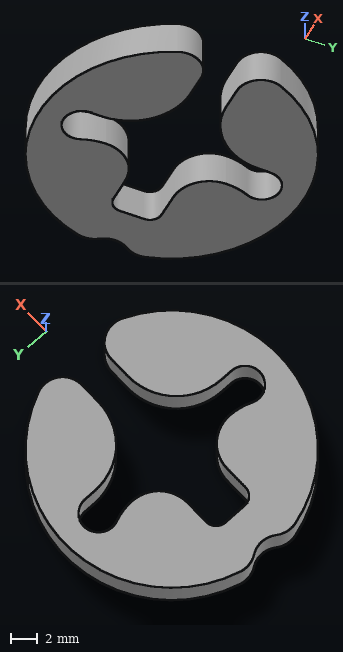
import cadquery as cq
import math

outer_radius = 11.0
thickness = 3.0

mouth_half_width = 1.5
tip_radius = 2.0
mouth_curve_radius = 5.0

relief_radius = 1.5
relief_center_y = 7.5

bay_depth = 7.0
bay_half_width = 2.0
bay_corner_radius = 1.0

lobe_radius = 3.0
lobe_edge_offset = 1.0

notch_radius = 2.0
notch_center_x = -12.0
notch_shoulder_radius = 2.0


def polar(center, radius, angle):
    """Point on a circle at the given angle in radians."""
    return (center[0] + radius * math.cos(angle), center[1] + radius * math.sin(angle))


def add_arc(path, center, radius, start, end):
    """Add an arc about center, running from the start angle to the end angle."""
    middle = polar(center, radius, (start + end) / 2)
    return path.threePointArc(middle, polar(center, radius, end))


origin = (0, 0)
notch_center = (notch_center_x, 0)
relief_center = (0, relief_center_y)

shoulder_reach = outer_radius - notch_shoulder_radius
notch_reach = notch_radius + notch_shoulder_radius
shoulder_x = (shoulder_reach**2 - notch_reach**2 + notch_center_x**2) / (2 * notch_center_x)
shoulder_center = (shoulder_x, math.sqrt(shoulder_reach**2 - shoulder_x**2))
shoulder_angle = math.atan2(shoulder_center[1], shoulder_center[0])
notch_angle = math.atan2(shoulder_center[1], shoulder_center[0] - notch_center_x)

tip_y = mouth_half_width + tip_radius
tip_center = (math.sqrt((outer_radius - tip_radius)**2 - tip_y**2), tip_y)
tip_angle = math.atan2(tip_center[1], tip_center[0])

mouth_curve_center = (relief_radius + mouth_curve_radius, mouth_half_width + mouth_curve_radius)
lobe_center = (-lobe_edge_offset - lobe_radius, bay_half_width + lobe_radius)
bay_corner_center = (bay_corner_radius - bay_depth, bay_half_width - bay_corner_radius)

flank_rise = relief_center_y - lobe_center[1]
flank_radius = (lobe_edge_offset**2 + flank_rise**2 - relief_radius**2) / (
    2 * (relief_radius - lobe_edge_offset)
)
flank_center = (-lobe_edge_offset - flank_radius, lobe_center[1])
flank_angle = math.atan2(flank_rise, -flank_center[0])

path = cq.Workplane("XY").moveTo(notch_center_x + notch_radius, 0)
path = add_arc(path, notch_center, notch_radius, 0, notch_angle)
path = add_arc(path, shoulder_center, notch_shoulder_radius, notch_angle + math.pi, shoulder_angle)
path = add_arc(path, origin, outer_radius, shoulder_angle, tip_angle)
path = add_arc(path, tip_center, tip_radius, tip_angle, -math.pi / 2)

path = path.lineTo(mouth_curve_center[0], mouth_half_width)
path = add_arc(path, mouth_curve_center, mouth_curve_radius, -math.pi / 2, -math.pi)
path = path.lineTo(relief_radius, relief_center_y)
path = add_arc(path, relief_center, relief_radius, 0, math.pi + flank_angle)
path = add_arc(path, flank_center, flank_radius, flank_angle, 0)
path = add_arc(path, lobe_center, lobe_radius, 0, -math.pi / 2)
path = path.lineTo(bay_corner_center[0], bay_half_width)
path = add_arc(path, bay_corner_center, bay_corner_radius, math.pi / 2, math.pi)
path = path.lineTo(-bay_depth, 0).close()

half_ring = path.extrude(thickness)
result = half_ring.union(half_ring.mirror("XZ")).clean()